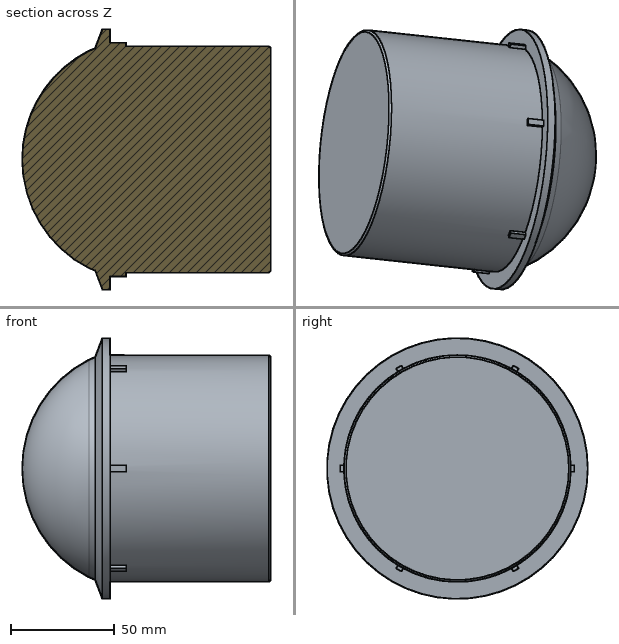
import cadquery as cq

overall_length = 120.64

barrel_radius = 110 / 2
barrel_length = 78.0
end_chamfer = 1.0

flange_radius = 126.5 / 2
rim_width = 3.75
cone_width = 3.5

collar_back_radius = 54.0
collar_front_radius = 52.75
collar_width = 3.0

rib_count = 6
rib_width = 3.0
rib_length = 7.75
rib_height = 1.75
rib_sink = 1.5

rim_front_x = -rim_width
cone_front_x = rim_front_x - cone_width
dome_base_x = cone_front_x - collar_width
dome_tip_x = barrel_length - overall_length

dome_height = dome_base_x - dome_tip_x
dome_radius = (collar_front_radius**2 + dome_height**2) / (2 * dome_height)
dome_centre_x = dome_tip_x + dome_radius
dome_mid_x = dome_tip_x + dome_height / 2
dome_mid_radius = (dome_radius**2 - (dome_centre_x - dome_mid_x) ** 2) ** 0.5


def make_body():
    """Dome, collar, flange and barrel, as one revolved half profile."""
    profile = (
        cq.Workplane("XY")
        .moveTo(dome_tip_x, 0)
        .threePointArc((dome_mid_x, dome_mid_radius), (dome_base_x, collar_front_radius))
        .lineTo(cone_front_x, collar_back_radius)
        .lineTo(rim_front_x, flange_radius)
        .lineTo(0, flange_radius)
        .lineTo(0, barrel_radius)
        .lineTo(barrel_length - end_chamfer, barrel_radius)
        .lineTo(barrel_length, barrel_radius - end_chamfer)
        .lineTo(barrel_length, 0)
        .close()
    )
    return profile.revolve(360, (0, 0, 0), (1, 0, 0))


def make_rib(angle):
    """One rib, sunk into the flange and barrel, turned about X from the +Y direction."""
    rib = cq.Workplane("XY").box(
        rib_length + rib_sink,
        rib_height + rib_sink,
        rib_width,
        centered=(False, False, True),
    )
    rib = rib.translate((-rib_sink, barrel_radius - rib_sink, 0))
    return rib.rotate((0, 0, 0), (1, 0, 0), angle)


result = make_body()
for index in range(rib_count):
    result = result.union(make_rib(index * 360 / rib_count))